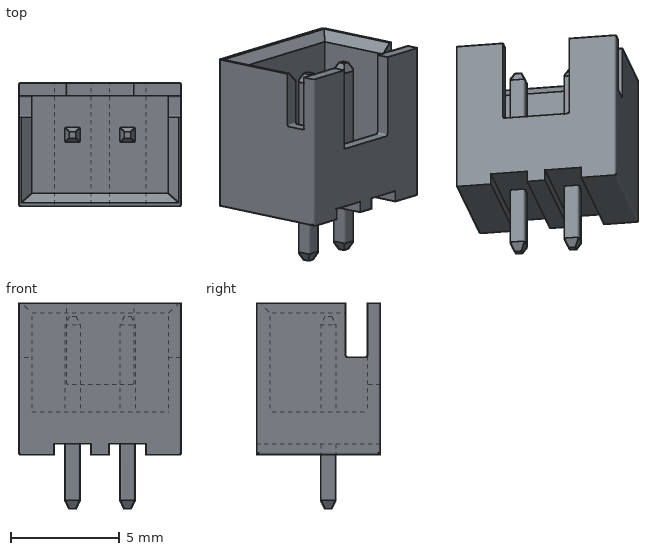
import cadquery as cq


width = 7.5
depth = 5.7
total_height = 9.5
pin_drop = 2.5
height = total_height - pin_drop
wall = 0.6
floor_thickness = 1.995
edge_radius = 0.1

side_bevel = 0.475
front_bevel = 0.43
bevel_height = 0.45

side_slot_width = 1.0
side_slot_depth = 2.5
back_slot_width = 3.11
back_slot_depth = 3.75
slot_radius = 0.1

channel_width = 1.7
channel_height = 0.5

pin_pitch = 2.54
pin_size = 0.7
pin_edge_radius = 0.1
pin_to_back = 2.4
pin_top_gap = 0.6
tip_length = 0.4
tip_taper = 0.2

back_face = depth / 2
back_wall_inside = back_face - wall
front_wall_inside = wall - depth / 2
cavity_width = width - 2 * wall


def block(x_size, y_min, y_max, z_min, z_max):
    """Box centred on X, spanning the given Y and Z ranges."""
    return (
        cq.Workplane("XY")
        .box(x_size, y_max - y_min, z_max - z_min, centered=(True, False, False))
        .translate((0, y_min, z_min))
    )


def make_body():
    """Solid block with rounded upright edges and rounded lower side edges."""
    body = block(width, -depth / 2, back_face, 0, height)
    lower_side_edges = body.faces("<Z").edges("|Y")
    return body.edges("|Z").add(lower_side_edges).fillet(edge_radius)


def make_cavity():
    """Rectangular cavity, open at the top."""
    return block(cavity_width, front_wall_inside, back_wall_inside, floor_thickness, height)


def make_lead_in():
    """Flared mouth of the cavity; the back wall stays upright."""
    mouth_depth = back_wall_inside - front_wall_inside
    mouth_middle = (back_wall_inside + front_wall_inside) / 2
    return (
        cq.Workplane("XY", origin=(0, mouth_middle, height - bevel_height))
        .rect(cavity_width, mouth_depth)
        .workplane(offset=bevel_height)
        .center(0, -front_bevel / 2)
        .rect(cavity_width + 2 * side_bevel, mouth_depth + front_bevel)
        .loft(ruled=True)
    )


def make_side_slot():
    """Slot across both side walls, against the back wall, with rounded lower corners."""
    slot_front = back_wall_inside - side_slot_width
    slot = block(width, slot_front, back_wall_inside, height - side_slot_depth, height)
    return slot.faces("<Z").edges("|X").fillet(slot_radius)


def make_back_slot():
    """Slot in the middle of the back wall with rounded lower corners."""
    slot = block(back_slot_width, back_wall_inside, back_face, height - back_slot_depth, height)
    return slot.faces("<Z").edges("|Y").fillet(slot_radius)


def make_channel(x):
    """Relief channel along the full depth of the underside."""
    return block(channel_width, -depth / 2, back_face, 0, channel_height).translate((x, 0, 0))


def make_pin(x):
    """Square pin with rounded edges, tapered at both ends."""
    length = pin_drop + height - pin_top_gap
    shank = cq.Workplane("XY").rect(pin_size, pin_size).extrude(length).edges("|Z").fillet(pin_edge_radius)
    shank_length = length - 2 * tip_length
    tip_size = pin_size - 2 * tip_taper
    envelope = cq.Workplane("XY", origin=(0, 0, tip_length)).rect(pin_size, pin_size).extrude(shank_length)
    for end_plane in (
        cq.Workplane("XY", origin=(0, 0, length - tip_length)),
        cq.Workplane("XY", origin=(0, 0, tip_length)).transformed(rotate=(180, 0, 0)),
    ):
        tip = (
            end_plane.rect(pin_size, pin_size)
            .workplane(offset=tip_length)
            .rect(tip_size, tip_size)
            .loft(ruled=True)
        )
        envelope = envelope.union(tip)
    return shank.intersect(envelope).translate((x, back_face - pin_to_back, -pin_drop))


housing = make_body().cut(make_cavity()).cut(make_lead_in()).cut(make_side_slot()).cut(make_back_slot())
for side in (-1, 1):
    housing = housing.cut(make_channel(side * pin_pitch / 2))

result = housing
for side in (-1, 1):
    result = result.union(make_pin(side * pin_pitch / 2))